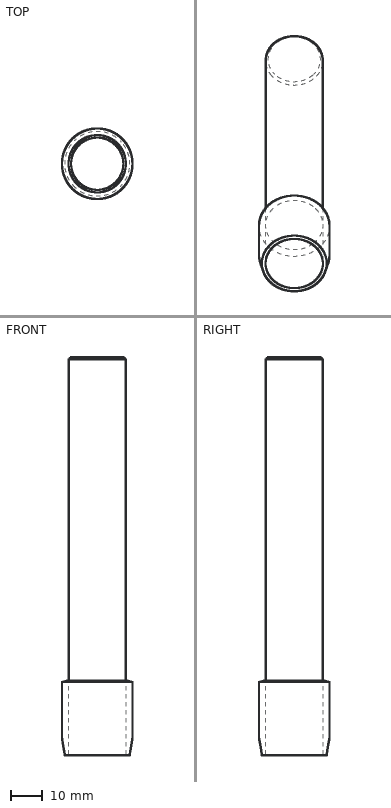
import cadquery as cq
import math

total_length = 125.0
pin_diameter = 18.0
pin_end_chamfer = 0.8

sleeve_diameter = 22.225
sleeve_shoulder_height = 23.0
crown_angle = 15.0
land_width = 0.125
taper_height = 5.4
taper_end_diameter = 20.38

pin_radius = pin_diameter / 2
sleeve_radius = sleeve_diameter / 2
taper_end_radius = taper_end_diameter / 2
land_radius = pin_radius + land_width
crown_rise = (sleeve_radius - land_radius) * math.tan(math.radians(crown_angle))
sleeve_height = sleeve_shoulder_height + crown_rise


def make_pin():
    """Straight round pin standing on Z = 0, chamfered at its top end."""
    pin = cq.Workplane("XY").circle(pin_radius).extrude(total_length)
    return pin.faces(">Z").edges().chamfer(pin_end_chamfer)


def make_sleeve():
    """Sleeve with a tapered foot and a conical top, revolved around Z from its half section."""
    half_section = [
        (pin_radius, 0),
        (taper_end_radius, 0),
        (sleeve_radius, taper_height),
        (sleeve_radius, sleeve_shoulder_height),
        (land_radius, sleeve_height),
        (pin_radius, sleeve_height),
    ]
    axis_start = (0, 0)
    axis_end = (0, 1)
    return cq.Workplane("XZ").polyline(half_section).close().revolve(360, axis_start, axis_end)


pin = make_pin()
sleeve = make_sleeve()

result = cq.Compound.makeCompound([pin.val(), sleeve.val()])